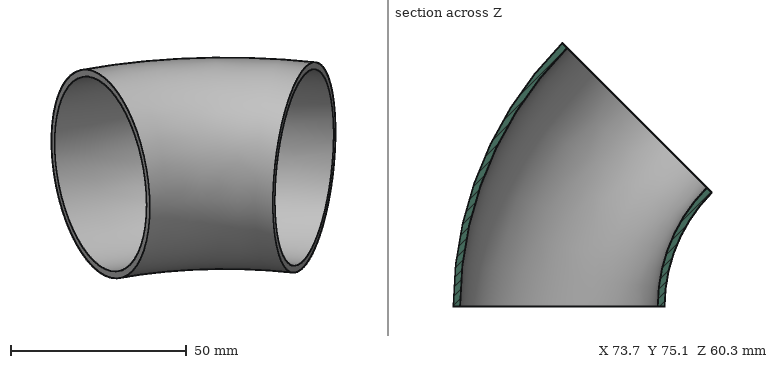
import cadquery as cq
import math

bend_angle = 45.0
overall_length = 75.05
pipe_diameter = 60.3
wall = 2.0

outer_curve_radius = overall_length / math.sin(math.radians(bend_angle))
pipe_radius = pipe_diameter / 2
bore_radius = pipe_radius - wall
bend_radius = outer_curve_radius - pipe_radius


def bent_tube():
    """Ring on the XZ plane, revolved about a Z-parallel axis on the +X side."""
    ring = cq.Workplane("XZ").circle(pipe_radius).circle(bore_radius)
    axis_start = (bend_radius, 0)
    axis_end = (bend_radius, -1)
    return ring.revolve(bend_angle, axis_start, axis_end)


result = bent_tube()